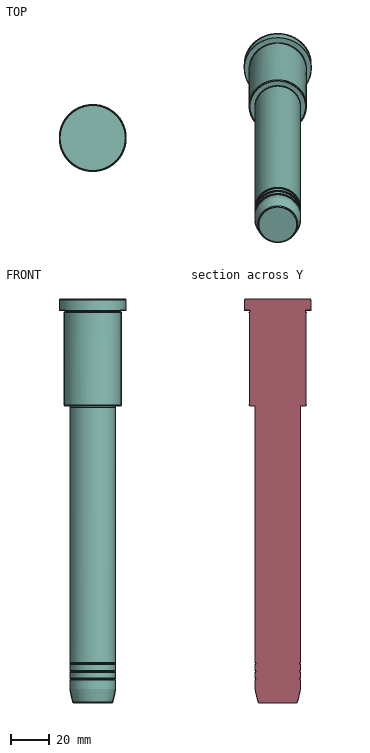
import cadquery as cq

shank_length = 155.0
shoulder_length = 50.0
head_thickness = 6.0
head_bottom = shank_length + shoulder_length
head_top = head_bottom + head_thickness

head_radius = 35.0 / 2
shoulder_radius = 30.0 / 2
shank_radius = 24.0 / 2

head_chamfer = 0.5
shoulder_chamfer = 0.5
tip_chamfer = 0.5

head_relief_width = 1.0
head_relief_depth = 0.4
shoulder_relief_width = 0.8
shoulder_relief_depth = 0.1

lead_in_top = 7.3
lead_in_end_radius = 10.4
lead_in_bulge = 0.1
lead_in_mid_radius = (shank_radius + lead_in_end_radius) / 2 + lead_in_bulge
lead_in_mid_height = (lead_in_top + tip_chamfer) / 2

groove_count = 3
groove_width = 1.0
groove_depth = 0.5
groove_pitch = 4.1
lowest_groove_height = 12.5


def revolve_around_z(section):
    """Turn a closed section in the XZ plane into a full solid of revolution."""
    return section.revolve(360, (0, 0, 0), (0, 1, 0))


def turned_blank():
    """Pin without grooves: head, shoulder, shank and tapered tip."""
    half_profile = (
        cq.Workplane("XZ")
        .moveTo(0, head_top)
        .lineTo(head_radius - head_chamfer, head_top)
        .lineTo(head_radius, head_top - head_chamfer)
        .lineTo(head_radius, head_bottom)
        .lineTo(shoulder_radius, head_bottom)
        .lineTo(shoulder_radius, shank_length + shoulder_chamfer)
        .lineTo(shoulder_radius - shoulder_chamfer, shank_length)
        .lineTo(shank_radius, shank_length)
        .lineTo(shank_radius, lead_in_top)
        .threePointArc((lead_in_mid_radius, lead_in_mid_height), (lead_in_end_radius, tip_chamfer))
        .lineTo(lead_in_end_radius - tip_chamfer, 0)
        .lineTo(0, 0)
        .close()
    )
    return revolve_around_z(half_profile)


def relief_cutter(surface_radius, top, width, depth):
    """Ring that cuts a relief downward from the step face at the given height."""
    section = (
        cq.Workplane("XZ")
        .moveTo(surface_radius, top)
        .lineTo(surface_radius - depth, top)
        .lineTo(surface_radius - depth, top - width + depth)
        .lineTo(surface_radius, top - width)
        .close()
    )
    return revolve_around_z(section)


def groove_cutter(center_height):
    """Ring of triangular section that cuts one lubrication groove."""
    half_width = groove_width / 2
    section = (
        cq.Workplane("XZ")
        .moveTo(shank_radius, center_height - half_width)
        .lineTo(shank_radius - groove_depth, center_height)
        .lineTo(shank_radius, center_height + half_width)
        .close()
    )
    return revolve_around_z(section)


result = turned_blank()
result = result.cut(relief_cutter(shoulder_radius, head_bottom, head_relief_width, head_relief_depth))
result = result.cut(relief_cutter(shank_radius, shank_length, shoulder_relief_width, shoulder_relief_depth))
for index in range(groove_count):
    result = result.cut(groove_cutter(lowest_groove_height + index * groove_pitch))